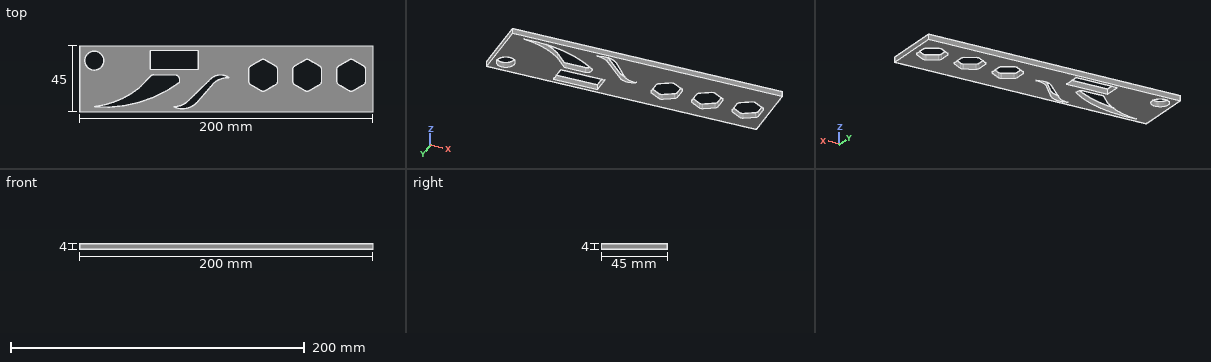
import cadquery as cq
import math

length = 200.0
width = 45.0
thickness = 4.0

hole_diameter = 12.8
hole_inset = 10.0

window_length = 32.5
window_width = 12.8
window_left = 48.2
window_bottom = 29.0

hex_across_flats = 19.5
hex_corner_radius = 2.5
hex_pitch = 30.0
hex_count = 3
last_hex_to_edge = 15.0
hex_center_y = 25.0

cutout_top = 25.2
tip_height = 3.5

blade_tip_x = 10.0
blade_right = 68.0
blade_right_bottom = 20.2
blade_corner_radius = 3.0
blade_back_middle = (27.5, 8.5)
blade_back_end = (40.5, 16.2)
blade_shoulder_start = (48.5, 24.5)
blade_shoulder_end_x = 50.5
blade_edge_middle = (41.0, 6.8)

wave_lower_tip_x = 64.2
wave_upper_tip = (101.8, 23.5)
wave_left_foot_middle = (69.0, 4.5)
wave_left_foot_end = (73.5, 7.2)
wave_left_crest_start = (89.5, 22.5)
wave_crest_x = 96.2
wave_right_crest_middle = (96.5, 22.8)
wave_right_crest_end = (91.5, 19.8)
wave_right_foot_start = (80.8, 7.5)
wave_right_foot_middle = (72.8, 2.5)


def hanging_hole():
    center = (hole_inset, width - hole_inset)
    return cq.Workplane("XY").center(*center).circle(hole_diameter / 2).extrude(thickness)


def window():
    return (
        cq.Workplane("XY")
        .center(window_left + window_length / 2, window_bottom + window_width / 2)
        .rect(window_length, window_width)
        .extrude(thickness)
    )


def hex_opening(center_x):
    """Hexagon with two flats parallel to Y and rounded corners."""
    corner_diameter = hex_across_flats / math.cos(math.pi / 6)
    return (
        cq.Workplane("XY")
        .polygon(6, corner_diameter)
        .extrude(thickness)
        .edges("|Z")
        .fillet(hex_corner_radius)
        .rotate((0, 0, 0), (0, 0, 1), 30)
        .translate((center_x, hex_center_y, 0))
    )


def blade_cutout():
    tip = (blade_tip_x, tip_height)
    corner_center = (blade_right - blade_corner_radius, cutout_top - blade_corner_radius)
    diagonal = blade_corner_radius * math.sqrt(0.5)
    corner_middle = (corner_center[0] + diagonal, corner_center[1] + diagonal)
    return (
        cq.Workplane("XY")
        .moveTo(*tip)
        .threePointArc(blade_back_middle, blade_back_end)
        .lineTo(*blade_shoulder_start)
        .tangentArcPoint((blade_shoulder_end_x, cutout_top), relative=False)
        .lineTo(corner_center[0], cutout_top)
        .threePointArc(corner_middle, (blade_right, corner_center[1]))
        .lineTo(blade_right, blade_right_bottom)
        .threePointArc(blade_edge_middle, tip)
        .close()
        .extrude(thickness)
    )


def wave_cutout():
    lower_tip = (wave_lower_tip_x, tip_height)
    return (
        cq.Workplane("XY")
        .moveTo(*lower_tip)
        .threePointArc(wave_left_foot_middle, wave_left_foot_end)
        .lineTo(*wave_left_crest_start)
        .threePointArc((wave_crest_x, cutout_top), wave_upper_tip)
        .threePointArc(wave_right_crest_middle, wave_right_crest_end)
        .lineTo(*wave_right_foot_start)
        .threePointArc(wave_right_foot_middle, lower_tip)
        .close()
        .extrude(thickness)
    )


plate = cq.Workplane("XY").box(length, width, thickness, centered=False)
result = plate.cut(hanging_hole()).cut(window()).cut(blade_cutout()).cut(wave_cutout())
for index in range(hex_count):
    result = result.cut(hex_opening(length - last_hex_to_edge - index * hex_pitch))